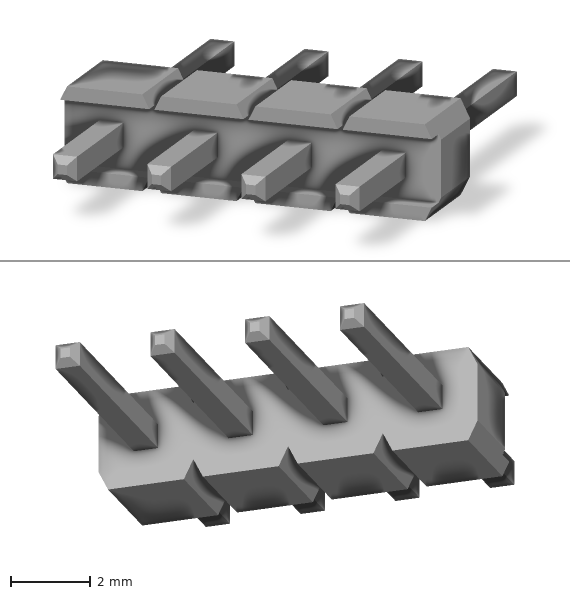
import cadquery as cq

pin_count = 4
pitch = 2.54

housing_height = 2.54
housing_depth = 2.54
bevel_width = 0.25
bevel_height = 0.51
recess_depth = 0.5
lip_thickness = 0.37

pin_size = 0.65
pin_length = 11.54
pin_rear_reach = 6.0
tip_chamfer = 0.2

row_length = pin_count * pitch
housing_rear = pin_length / 2 - pin_rear_reach
housing_front = housing_rear - housing_depth
pin_positions = [(index - (pin_count - 1) / 2) * pitch for index in range(pin_count)]


def make_segment(center_x):
    """One pitch-long block of the housing, with its four corners bevelled along Y."""
    side = pitch / 2
    top = housing_height / 2
    flat_side = side - bevel_width
    flat_top = top - bevel_height
    outline = [
        (-side, -flat_top),
        (-flat_side, -top),
        (flat_side, -top),
        (side, -flat_top),
        (side, flat_top),
        (flat_side, top),
        (-flat_side, top),
        (-side, flat_top),
    ]
    return (
        cq.Workplane("XZ", origin=(center_x, housing_rear, 0))
        .polyline(outline)
        .close()
        .extrude(housing_depth)
    )


def make_recess():
    """Channel along the whole front face that leaves a lip above and below."""
    return cq.Workplane("XY", origin=(0, housing_front + recess_depth / 2, 0)).box(
        row_length, recess_depth, housing_height - 2 * lip_thickness
    )


def make_pin_hole(center_x):
    """Square through hole that matches the pin section."""
    return cq.Workplane("XY", origin=(center_x, housing_front + housing_depth / 2, 0)).box(
        pin_size, housing_depth, pin_size
    )


def make_housing():
    """Row of joined segments with the front recess and the pin holes cut out."""
    housing = make_segment(pin_positions[0])
    for center_x in pin_positions[1:]:
        housing = housing.union(make_segment(center_x))
    housing = housing.cut(make_recess())
    for center_x in pin_positions:
        housing = housing.cut(make_pin_hole(center_x))
    return housing


def make_pin(center_x):
    """Square pin along Y, chamfered on all sides at both ends."""
    return (
        cq.Workplane("XY", origin=(center_x, 0, 0))
        .box(pin_size, pin_length, pin_size)
        .faces("<Y or >Y")
        .chamfer(tip_chamfer)
    )


housing = make_housing()
pins = [make_pin(center_x) for center_x in pin_positions]

result = cq.Compound.makeCompound([housing.solids().val(), *[pin.solids().val() for pin in pins]])